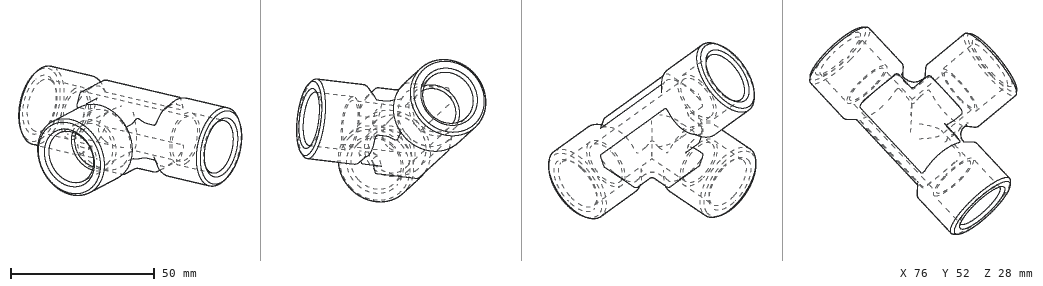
import cadquery as cq
import math

reach = 38.0
collar_radius = 14.0
neck_radius = 11.0
collar_chamfer = 1.0
shoulder_start = 19.45
shoulder_round = 1.0

bore_radius = 8.0
thread_radius = 9.35
thread_depth = 15.2
mouth_chamfer = 1.15

flat_height = 11.5
flat_half_width = 8.05
flat_reach = 16.0
flat_draft = 10.0
corner_radius = 1.0
flat_edge_round = 0.3
crotch_radius = 4.95
blend_height = 8.35

port_angles = (0, 180, -90)

shoulder_end = shoulder_start - (collar_radius - neck_radius)
half_turn = math.radians(45 / 2)
round_setback = shoulder_round * math.tan(half_turn)
round_diagonal = round_setback * math.sqrt(0.5)


def at_ports(shape):
    """Copies of a shape built along +X, one turned to each port, joined together."""
    joined = cq.Workplane("XY")
    for angle in port_angles:
        joined = joined.union(shape.rotate((0, 0, 0), (0, 0, 1), angle))
    return joined


def revolve_about_x(profile):
    return profile.close().revolve(360, (0, 0, 0), (1, 0, 0))


def neck():
    return cq.Workplane("YZ").circle(neck_radius).extrude(shoulder_end)


def collar():
    """Solid port end with a chamfered rim and a rounded 45 degree shoulder down to the neck."""
    mid_offset = shoulder_round * math.sin(half_turn)
    mid_drop = shoulder_round * (1 - math.cos(half_turn))
    foot_start = shoulder_end - round_setback
    top_end = shoulder_start + round_setback
    profile = (
        cq.Workplane("XY")
        .moveTo(foot_start, 0)
        .lineTo(foot_start, neck_radius)
        .threePointArc(
            (foot_start + mid_offset, neck_radius + mid_drop),
            (shoulder_end + round_diagonal, neck_radius + round_diagonal),
        )
        .lineTo(shoulder_start - round_diagonal, collar_radius - round_diagonal)
        .threePointArc(
            (top_end - mid_offset, collar_radius - mid_drop),
            (top_end, collar_radius),
        )
        .lineTo(reach - collar_chamfer, collar_radius)
        .lineTo(reach, collar_radius - collar_chamfer)
        .lineTo(reach, 0)
    )
    return revolve_about_x(profile)


def port_cavity():
    """Through bore, wider thread bore and chamfered mouth."""
    profile = (
        cq.Workplane("XY")
        .lineTo(0, bore_radius)
        .lineTo(reach - thread_depth, bore_radius)
        .lineTo(reach - thread_depth, thread_radius)
        .lineTo(reach - mouth_chamfer, thread_radius)
        .lineTo(reach, thread_radius + mouth_chamfer)
        .lineTo(reach, 0)
    )
    return revolve_about_x(profile)


def upper_flat():
    """T-shaped block with drafted sides that carries the upper flat face."""
    draft_growth = flat_height * math.tan(math.radians(flat_draft))
    base_width = 2 * (flat_half_width + draft_growth)
    base_reach = flat_reach + draft_growth
    run = cq.Workplane("XY").rect(2 * base_reach, base_width)
    branch = cq.Workplane("XY").center(0, -base_reach / 2).rect(base_width, base_reach)
    block = run.extrude(flat_height, taper=flat_draft).union(branch.extrude(flat_height, taper=flat_draft))

    uprights = cq.selectors.BoxSelector(
        (-reach, -reach, 0.1 * flat_height),
        (reach, reach, 0.9 * flat_height),
    )
    block = block.edges(uprights).fillet(corner_radius)
    return block.faces(">Z").edges().fillet(flat_edge_round)


def blended_necks():
    """Crossing necks with a rolling-ball blend in both corners between run and branch."""
    necks = at_ports(neck())
    middle = necks.intersect(cq.Workplane("XY").box(2 * reach, 2 * reach, 2 * blend_height))
    for side in (-1, 1):
        crossing = (side * neck_radius, -neck_radius, 0)
        middle = middle.edges(cq.selectors.NearestToPointSelector(crossing)).fillet(crotch_radius)
    return necks.union(middle)


def body():
    """Necks with matching flats above and below."""
    flat = upper_flat()
    return blended_necks().union(flat).union(flat.mirror("XY"))


result = body().union(at_ports(collar())).cut(at_ports(port_cavity()))